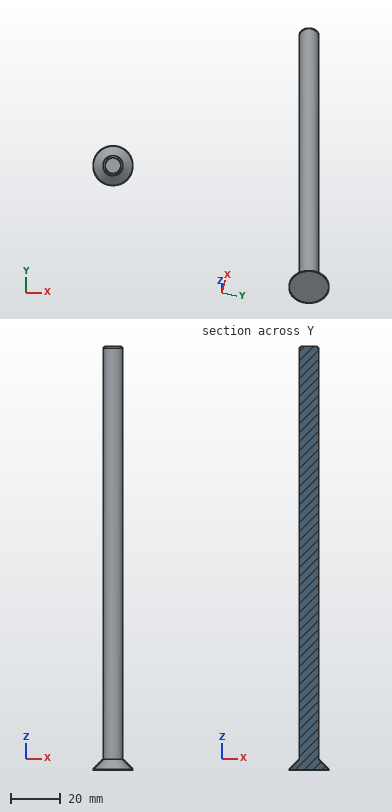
import cadquery as cq

total_length = 170.0
shank_diameter = 8.0
head_diameter = 16.0
head_rim_height = 0.42
tip_chamfer = 0.8

shank_radius = shank_diameter / 2
head_radius = head_diameter / 2

head_height = head_rim_height + head_radius - shank_radius

half_profile = [
    (0, 0),
    (head_radius, 0),
    (head_radius, head_rim_height),
    (shank_radius, head_height),
    (shank_radius, total_length - tip_chamfer),
    (shank_radius - tip_chamfer, total_length),
    (0, total_length),
]

result = (
    cq.Workplane("XZ")
    .polyline(half_profile)
    .close()
    .revolve(360, (0, 0, 0), (0, 1, 0))
)